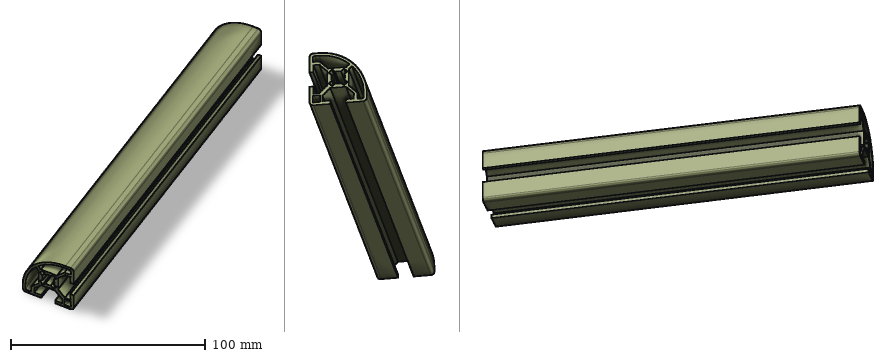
import cadquery as cq
import math

SIDE = 30.0
LENGTH = 200.0
HALF = SIDE / 2

SKIN_RADIUS = 25.0
SKIN_WALL = 1.5
CORNER_RADIUS = 2.0

SLOT_OPENING = 8.2
LIP = 2.0
SLOT_HALF_WIDTH = 8.2
CORE_HALF = 5.8
WEB_OFFSET = 1.7

CHAMBER_FLOOR = 5.5
CHAMBER_WEB_OFFSET = 0.5
SKIN_WEB_OFFSET = 1.5
RIB = 1.8
CHAMBER_RADIUS = 1.2

CELL_WALL = 1.2
CELL_RADIUS = 0.8

BORE_RADIUS = 3.5
RELIEF_WIDTH = 2.5
RELIEF_LENGTH = 11.2

SKIN_CENTER_X = SKIN_RADIUS - HALF
SKIN_CENTER_Z = HALF - SKIN_RADIUS
INNER_SKIN_RADIUS = SKIN_RADIUS - SKIN_WALL
INNER_FACE = HALF - SKIN_WALL
SKIN_ARC_MID_ANGLE = 110


def extrude(sketch):
    """Extrude a closed section along the full length."""
    return sketch.extrude(LENGTH / 2, both=True)


def section():
    """Sketch plane through the middle of the bar, x to the right and z up."""
    return cq.Workplane("XZ")


def mirrored(solid):
    """The solid together with its mirror image about the x = -z diagonal."""
    image = solid.mirror("YZ").rotate((0, 0, 0), (0, 1, 0), -90)
    return solid.union(image)


def body():
    """Solid quarter-round bar with rounded corners on the flat sides."""
    reach = SKIN_RADIUS * math.sqrt(0.5)
    outline = (
        section()
        .moveTo(-HALF, -HALF)
        .lineTo(-HALF, SKIN_CENTER_Z)
        .threePointArc((SKIN_CENTER_X - reach, SKIN_CENTER_Z + reach), (SKIN_CENTER_X, HALF))
        .lineTo(HALF, HALF)
        .lineTo(HALF, -HALF)
        .close()
    )
    bar = extrude(outline)
    for corner in ("<X and <Z", ">X and <Z", ">X and >Z"):
        bar = bar.edges("|Y").edges(corner).fillet(CORNER_RADIUS)
    return bar


def right_slot():
    """T-slot open to the right face."""
    upper = [
        (CORE_HALF, CORE_HALF - WEB_OFFSET),
        (SLOT_HALF_WIDTH + WEB_OFFSET, SLOT_HALF_WIDTH),
        (HALF - LIP, SLOT_HALF_WIDTH),
        (HALF - LIP, SLOT_OPENING / 2),
        (HALF, SLOT_OPENING / 2),
    ]
    lower = [(x, -z) for x, z in reversed(upper)]
    return extrude(section().polyline(upper + lower).close())


def top_chamber():
    """Hollow between the round skin, the core and the right-hand slot."""
    rib_top = SLOT_HALF_WIDTH + RIB
    along = math.sqrt(2 * INNER_SKIN_RADIUS**2 - SKIN_WEB_OFFSET**2)
    web_x = SKIN_CENTER_X - (along - SKIN_WEB_OFFSET) / 2
    web_z = SKIN_WEB_OFFSET - web_x
    mid_angle = math.radians(SKIN_ARC_MID_ANGLE)
    mid = (
        SKIN_CENTER_X + INNER_SKIN_RADIUS * math.cos(mid_angle),
        SKIN_CENTER_Z + INNER_SKIN_RADIUS * math.sin(mid_angle),
    )
    outline = (
        section()
        .moveTo(web_x, web_z)
        .threePointArc(mid, (SKIN_CENTER_X, INNER_FACE))
        .lineTo(INNER_FACE, INNER_FACE)
        .lineTo(INNER_FACE, rib_top)
        .lineTo(rib_top - CHAMBER_WEB_OFFSET, rib_top)
        .lineTo(CHAMBER_FLOOR - CHAMBER_WEB_OFFSET, CHAMBER_FLOOR)
        .lineTo(SKIN_WEB_OFFSET - CHAMBER_FLOOR, CHAMBER_FLOOR)
        .close()
    )
    return extrude(outline).edges("|Y and >X").fillet(CHAMBER_RADIUS)


def corner_cell():
    """Rounded square hollow in the bottom right corner."""
    inner = SLOT_HALF_WIDTH + CELL_WALL
    size = INNER_FACE - inner
    middle = (INNER_FACE + inner) / 2
    cell = extrude(section().center(middle, -middle).rect(size, size))
    return cell.edges("|Y").fillet(CELL_RADIUS)


def screw_bore():
    """Round bore with two crossing diagonal reliefs."""
    bore = extrude(section().circle(BORE_RADIUS))
    relief = extrude(section().rect(RELIEF_LENGTH, RELIEF_WIDTH))
    for angle in (45, -45):
        bore = bore.union(relief.rotate((0, 0, 0), (0, 1, 0), angle))
    return bore


result = (
    body()
    .cut(mirrored(right_slot()))
    .cut(mirrored(top_chamber()))
    .cut(corner_cell())
    .cut(screw_bore())
)